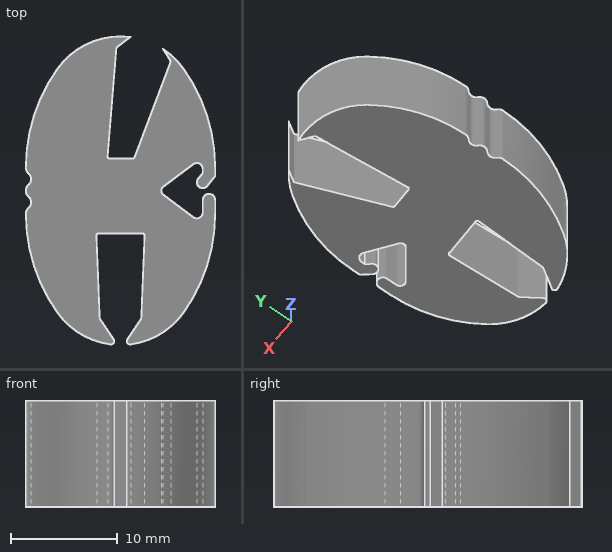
import cadquery as cq
import math

thickness = 10.0
half_width = 8.893
half_length = 14.5
side_radius = 15.95
side_center_y = 2.17

ripple_depth = 0.5
crest_pitch = side_center_y

pocket_apex_x = 3.53
pocket_slope = 0.75
pocket_corner_radius = 0.55
pocket_apex_radius = 0.45
mouth_top = 1.45
mouth_bottom = -1.74
upper_lip_radius = 0.55
upper_lip_y = 0.78
upper_lip_angle = 51
upper_lip_length = 3.47
lower_lip_radius = 0.593
lower_lip_top = -0.3
lower_lip_length = 2.3
wall_x = half_width - 2 * lower_lip_radius

upper_slot_floor = 3.05
upper_slot_floor_left = -1.21
upper_slot_floor_right = 1.27
left_shoulder = (-0.38, 13.42)
left_lip_end = (1.35, 14.75)
right_shoulder = (4.7, 12.15)
right_lip_end = (3.85, 13.5)
shoulder_radius = 0.3
slot_corner_radius = 0.17

lower_slot_floor = -4.02
lower_slot_half_width = 2.25
lower_shoulder_half_width = 1.95
lower_shoulder_y = -12.0
lower_mouth_half_width = 0.25
lower_shoulder_radius = 0.58
lip_tip_radius = 0.32

slot_overrun = 0.58

side_center_x = side_radius - half_width
radius_gap = side_radius - half_length
end_center_y = (side_center_x**2 + side_center_y**2 - radius_gap**2) / (2 * (side_center_y + radius_gap))
tangent_angle = math.atan2(end_center_y - side_center_y, side_center_x)


def side_point(angle):
    """Point on the side arc of the +X, +Y quadrant."""
    return (
        -side_center_x + side_radius * math.cos(angle),
        side_center_y + side_radius * math.sin(angle),
    )


def make_oval():
    join_x, join_y = side_point(tangent_angle)
    mid_x, mid_y = side_point(tangent_angle / 2)
    return (
        cq.Workplane("XY")
        .moveTo(half_width, -side_center_y)
        .lineTo(half_width, side_center_y)
        .threePointArc((mid_x, mid_y), (join_x, join_y))
        .threePointArc((0, half_length), (-join_x, join_y))
        .threePointArc((-mid_x, mid_y), (-half_width, side_center_y))
        .lineTo(-half_width, -side_center_y)
        .threePointArc((-mid_x, -mid_y), (-join_x, -join_y))
        .threePointArc((0, -half_length), (join_x, -join_y))
        .threePointArc((mid_x, -mid_y), (half_width, -side_center_y))
        .close()
        .extrude(thickness)
    )


def crest_arc_point(crest_y, direction):
    """Middle of the arc that leads from a crest to its flank, toward +Y or -Y."""
    radius = ((crest_pitch / 2) ** 2 + ripple_depth**2) / (4 * ripple_depth)
    half_sweep = math.asin(crest_pitch / 4 / radius) / 2
    return (
        -half_width + radius * (1 - math.cos(half_sweep)),
        crest_y + direction * radius * math.sin(half_sweep),
    )


def make_valley(top_y):
    """Smooth valley between two crests, made of tangent arcs of equal radius."""
    crest_x = -half_width
    flank_x = crest_x + ripple_depth / 2
    valley_x = crest_x + ripple_depth
    quarter = crest_pitch / 4
    bottom_y = top_y - crest_pitch
    return (
        cq.Workplane("XY")
        .moveTo(crest_x, top_y)
        .threePointArc(crest_arc_point(top_y, -1), (flank_x, top_y - quarter))
        .threePointArc((valley_x, top_y - 2 * quarter), (flank_x, bottom_y + quarter))
        .threePointArc(crest_arc_point(bottom_y, 1), (crest_x, bottom_y))
        .close()
        .extrude(thickness)
    )


def fillet_at(solid, points, radius):
    """Round the vertical edges nearest to the given points."""
    for x, y in points:
        edge = cq.selectors.NearestToPointSelector((x, y, thickness / 2))
        solid = solid.edges("|Z").edges(edge).fillet(radius)
    return solid


def prism(points):
    return cq.Workplane("XY").polyline(points).close().extrude(thickness)


def make_stadium(x, y, radius, length, angle):
    """Round-ended bar whose first end is centred on (x, y)."""
    return (
        cq.Workplane("XY")
        .center(x, y)
        .transformed(rotate=(0, 0, angle))
        .center(length / 2, 0)
        .slot2D(length + 2 * radius, 2 * radius)
        .extrude(thickness)
    )


def cut_upper_slot(body):
    floor_left = (upper_slot_floor_left, upper_slot_floor)
    floor_right = (upper_slot_floor_right, upper_slot_floor)
    top_y = half_length + slot_overrun
    slot = prism([
        floor_left,
        floor_right,
        right_shoulder,
        right_lip_end,
        (right_lip_end[0], top_y),
        (left_lip_end[0], top_y),
        left_lip_end,
        left_shoulder,
    ])
    slot = fillet_at(slot, [floor_left, floor_right, right_shoulder], slot_corner_radius)
    slot = fillet_at(slot, [left_shoulder], shoulder_radius)
    return body.cut(slot)


def cut_lower_slot(body):
    mouth_y = -half_length
    right_side = [
        (lower_slot_half_width, lower_slot_floor),
        (lower_shoulder_half_width, lower_shoulder_y),
        (lower_mouth_half_width, mouth_y),
        (lower_mouth_half_width, mouth_y - slot_overrun),
    ]
    left_side = [(-x, y) for x, y in right_side]
    slot = prism(right_side + left_side[::-1])
    slot = fillet_at(slot, [right_side[0], left_side[0]], slot_corner_radius)
    slot = fillet_at(slot, [right_side[1], left_side[1]], lower_shoulder_radius)
    body = body.cut(slot)
    return fillet_at(body, [right_side[2], left_side[2]], lip_tip_radius)


def cut_arrow_pocket(body, oval):
    apex = (pocket_apex_x, 0)
    corner_y = pocket_slope * (wall_x - pocket_apex_x)
    corners = [(wall_x, corner_y), (wall_x, -corner_y)]
    pocket = prism([apex] + corners)
    pocket = fillet_at(pocket, corners, pocket_corner_radius)
    pocket = fillet_at(pocket, [apex], pocket_apex_radius)
    mouth_start = wall_x - pocket_corner_radius
    mouth = (
        cq.Workplane("XY")
        .moveTo(mouth_start, mouth_bottom)
        .lineTo(half_width, mouth_bottom)
        .lineTo(half_width, mouth_top)
        .lineTo(mouth_start, mouth_top)
        .close()
        .extrude(thickness)
    )
    upper_lip = make_stadium(wall_x, upper_lip_y, upper_lip_radius, upper_lip_length, upper_lip_angle)
    lower_lip = make_stadium(
        half_width - lower_lip_radius,
        lower_lip_top - lower_lip_radius,
        lower_lip_radius,
        lower_lip_length,
        -90,
    )
    lips = upper_lip.union(lower_lip).intersect(oval)
    return body.cut(pocket).cut(mouth).union(lips)


oval = make_oval()
result = cut_arrow_pocket(oval, oval)
result = cut_upper_slot(result)
result = cut_lower_slot(result)
for crest_y in (crest_pitch, 0):
    result = result.cut(make_valley(crest_y))